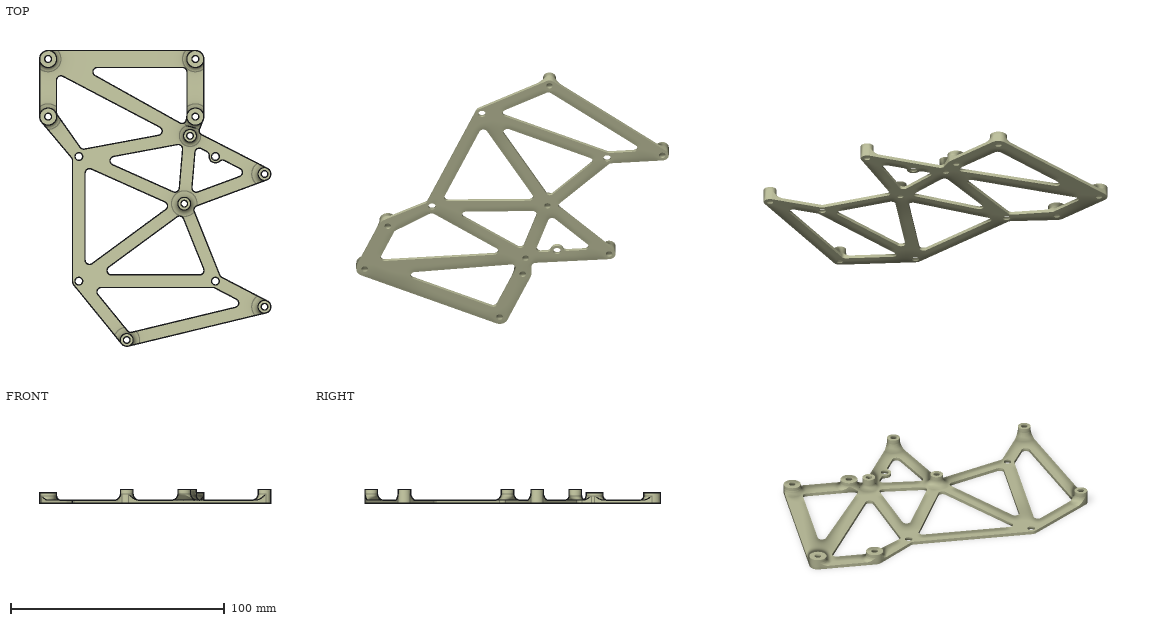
import cadquery as cq
import math

plate_thickness = 1.5
low_boss_height = 5.0
tall_boss_height = 6.5

wide_radius = 4.0
slim_radius = 3.0

low_boss_hole_diameter = 3.1
tall_boss_hole_diameter = 3.0
plate_hole_diameter = 3.5
corner_radius = 2.0
small_flare = 2.0
large_flare = 3.0

overall_x = 108.41
overall_y = 138.67

hole_pitch_x = 64.0
hole_pitch_y = 58.4
hole_sw = (0.0, 0.0)
hole_se = (hole_pitch_x, 0.0)
hole_nw = (0.0, hole_pitch_y)
hole_ne = (hole_pitch_x, hole_pitch_y)

low_pitch_x = 69.0
low_pitch_y = 27.0
low_left = -14.4
low_top = 104.1
low_right = low_left + low_pitch_x
low_bottom = low_top - low_pitch_y
low_nw = (low_left, low_top)
low_ne = (low_right, low_top)
low_sw = (low_left, low_bottom)
low_se = (low_right, low_bottom)

right_x = low_left + overall_x - wide_radius - slim_radius
bottom_y = low_top - overall_y + wide_radius + slim_radius
tall_upper = (52.1, 68.1)
tall_hub = (49.4, 36.3)
tall_east = (right_x, 50.2)
tall_south_east = (right_x, -12.0)
tall_south = (22.45, bottom_y)

low_bosses = [(center, small_flare) for center in (low_nw, low_ne, low_sw, low_se)]
tall_bosses = [
    (tall_upper, small_flare),
    (tall_hub, large_flare),
    (tall_east, large_flare),
    (tall_south_east, large_flare),
    (tall_south, large_flare),
]
plate_holes = [hole_sw, hole_se, hole_nw, hole_ne]

wide_straps = [(low_nw, low_ne), (low_nw, low_sw), (low_ne, low_se)]
tapered_straps = [(low_nw, tall_upper), (low_sw, hole_nw), (low_se, tall_upper)]
slim_straps = [
    (hole_nw, tall_upper),
    (hole_nw, tall_hub),
    (hole_nw, hole_sw),
    (tall_upper, tall_hub),
    (tall_upper, tall_east),
    (tall_hub, tall_east),
    (tall_hub, hole_sw),
    (tall_hub, hole_se),
    (hole_sw, hole_se),
    (hole_sw, tall_south),
    (hole_se, tall_south_east),
    (tall_south, tall_south_east),
]


def disc(center, radius, height):
    return cq.Workplane("XY").center(*center).circle(radius).extrude(height)


def strap(start, start_radius, end, end_radius):
    """Flat bar with round ends, its sides tangent to both end circles."""
    dx = end[0] - start[0]
    dy = end[1] - start[1]
    heading = math.atan2(dy, dx)
    lean = math.acos((start_radius - end_radius) / math.hypot(dx, dy))

    def on_circle(center, radius, angle):
        return (center[0] + radius * math.cos(angle), center[1] + radius * math.sin(angle))

    return (
        cq.Workplane("XY")
        .moveTo(*on_circle(start, start_radius, heading + lean))
        .threePointArc(
            on_circle(start, start_radius, heading + math.pi),
            on_circle(start, start_radius, heading - lean),
        )
        .lineTo(*on_circle(end, end_radius, heading - lean))
        .threePointArc(
            on_circle(end, end_radius, heading),
            on_circle(end, end_radius, heading + lean),
        )
        .close()
        .extrude(plate_thickness)
    )


def sharp_frame():
    """All straps joined, with the corners between them still sharp."""
    frame = disc(hole_ne, slim_radius, plate_thickness)
    for start, end in wide_straps:
        frame = frame.union(strap(start, wide_radius, end, wide_radius))
    for start, end in tapered_straps:
        frame = frame.union(strap(start, wide_radius, end, slim_radius))
    for start, end in slim_straps:
        frame = frame.union(strap(start, slim_radius, end, slim_radius))
    return frame.clean()


def rounded_frame(height):
    """Frame outline and windows with every inside corner rounded.

    Offsetting a boundary away from the material and back again fills
    each inside corner with an arc of the offset radius.
    """
    underside = sharp_frame().faces("<Z").val()
    outer = cq.Workplane("XY").add(underside.outerWire()).toPending()
    frame = outer.offset2D(corner_radius).offset2D(-corner_radius).extrude(height)
    for window in underside.innerWires():
        boundary = cq.Workplane("XY").add(window).toPending()
        opening = boundary.offset2D(-corner_radius).offset2D(corner_radius).extrude(height)
        frame = frame.cut(opening)
    return frame


def flare(center, boss_radius, flare_radius):
    """Foot of a boss, widening in a concave quarter round down to the plate."""
    foot_radius = boss_radius + flare_radius
    flare_top = plate_thickness + flare_radius
    diagonal = flare_radius * math.sqrt(0.5)
    return (
        cq.Workplane("XZ")
        .lineTo(foot_radius, 0)
        .lineTo(foot_radius, plate_thickness)
        .threePointArc((foot_radius - diagonal, flare_top - diagonal), (boss_radius, flare_top))
        .lineTo(0, flare_top)
        .close()
        .revolve(360, (0, 0, 0), (0, 1, 0))
        .translate((center[0], center[1], 0))
    )


flares = cq.Workplane("XY")
for center, flare_radius in low_bosses:
    flares = flares.union(flare(center, wide_radius, flare_radius))
for center, flare_radius in tall_bosses:
    flares = flares.union(flare(center, slim_radius, flare_radius))
flares = flares.intersect(rounded_frame(tall_boss_height))

result = rounded_frame(plate_thickness).union(flares)
for center, _ in low_bosses:
    result = result.union(disc(center, wide_radius, low_boss_height))
for center, _ in tall_bosses:
    result = result.union(disc(center, slim_radius, tall_boss_height))

for center, _ in low_bosses:
    result = result.cut(disc(center, low_boss_hole_diameter / 2, low_boss_height))
for center, _ in tall_bosses:
    result = result.cut(disc(center, tall_boss_hole_diameter / 2, tall_boss_height))
for center in plate_holes:
    result = result.cut(disc(center, plate_hole_diameter / 2, plate_thickness))